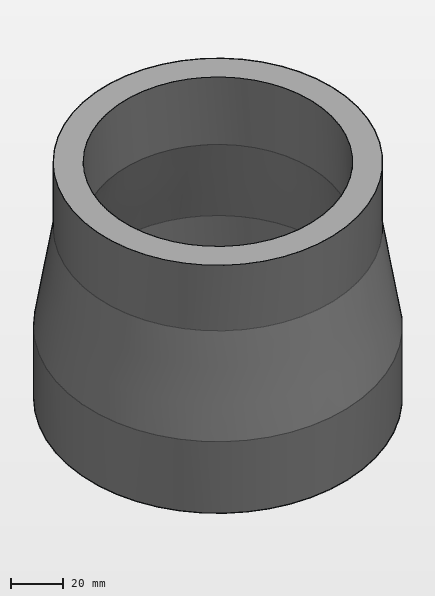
import cadquery as cq

total_height = 115.0

large_diameter = 140.0
large_wall = 12.7
large_length = 35.0
large_bore_length = 42.4

small_diameter = 125.0
small_wall = 11.4
small_length = 32.0
small_bore_length = 32.9


def stepped_taper(bottom_radius, bottom_length, top_radius, top_length):
    """Full-height solid standing on Z = 0: two cylinders joined by a cone."""
    taper_top = total_height - top_length
    return (
        cq.Workplane("XZ")
        .lineTo(bottom_radius, 0)
        .lineTo(bottom_radius, bottom_length)
        .lineTo(top_radius, taper_top)
        .lineTo(top_radius, total_height)
        .lineTo(0, total_height)
        .close()
        .revolve(360, (0, 0, 0), (0, 1, 0))
    )


large_radius = large_diameter / 2
small_radius = small_diameter / 2

body = stepped_taper(large_radius, large_length, small_radius, small_length)
bore = stepped_taper(
    large_radius - large_wall,
    large_bore_length,
    small_radius - small_wall,
    small_bore_length,
)

result = body.cut(bore)